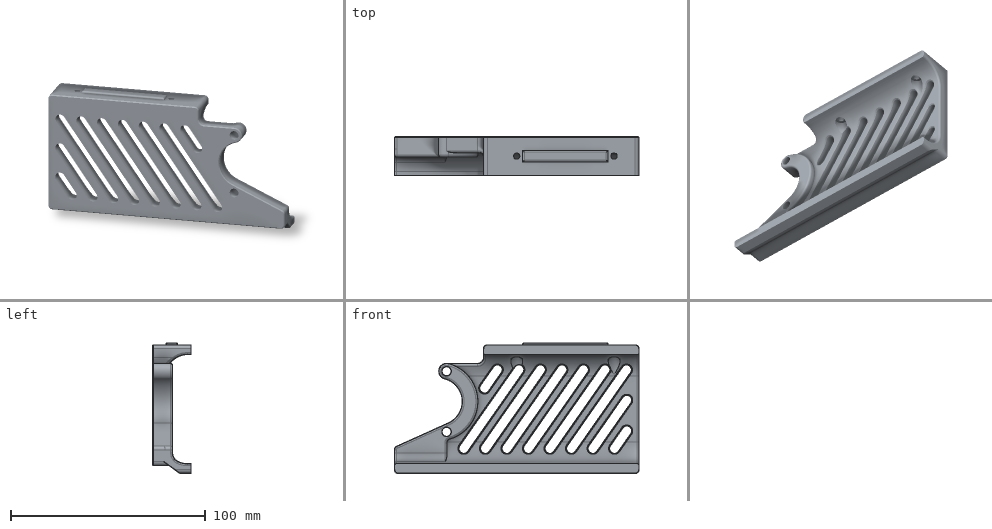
import cadquery as cq
import math

LENGTH = 125.5
DEPTH = 20.0
PLATE_HEIGHT = 66.0
OVER = 6.3

FLANGE = 5.0
FLANGE_FLAT = 2.0
COVE_RADIUS = 11.0
WEB_FACE = FLANGE_FLAT + COVE_RADIUS
COVE_LOW = FLANGE + COVE_RADIUS
FLANGE_TOP_UNDER = PLATE_HEIGHT - FLANGE
COVE_HIGH = FLANGE_TOP_UNDER - COVE_RADIUS

CORNER = 2.0
PLATE_LEFT = 45.7
NECK_RADIUS = 3.0
NOSE_HEIGHT = 13.4
REAR_BOTTOM = 4.0
SLOPE_START = 5.8
SLOPE_END = 14.0

RING_X = 22.7
RING_Z = 36.9
RING_RADIUS = 16.1
RING_HALF_WIDTH = 4.0
RING_INNER = RING_RADIUS - RING_HALF_WIDTH
RING_OUTER = RING_RADIUS + RING_HALF_WIDTH
RING_HOLE_X = 26.7
RING_HOLE_DIAMETER = 4.6
RING_HOLE_RISE = math.sqrt(RING_RADIUS**2 - (RING_HOLE_X - RING_X)**2)
HOOK_TOP = RING_Z + RING_HOLE_RISE + RING_HALF_WIDTH
RING_FACE = 9.5
ARM_RIGHT = 26.9
ARM_FILLET = 2.0
ARM_COVE_RADIUS = 5.0

SLOT_WIDTH = 5.0
SLOT_ANGLE = 55.0
SLOT_PITCH = 11.0
SLOT_COUNT = 9
FIRST_SLOT_TOP_X = 52.8
SLOT_LOW_Z = 12.8
SLOT_HIGH_Z = 53.2
SLOT_RIGHT_X = 119.2
FIRST_SLOT_LOW_Z = 43.8

RIM_ROUND = 1.0
SLOT_CHAMFER = 0.5
BACK_CHAMFER = 0.5

TOP_HOLE_X = (62.8, 112.7)
TOP_HOLE_DIAMETER = 3.1
TOP_BORE_DIAMETER = 6.0
STRIP_LEFT = 65.8
STRIP_LENGTH = 43.9
STRIP_WIDTH = 6.0
STRIP_HEIGHT = 1.0


def ring_point(radius, angle):
    """Point (x, z) on a circle about the crescent centre, angle in radians."""
    return (RING_X + radius * math.cos(angle), RING_Z + radius * math.sin(angle))


def hook_point(angle):
    """Point (x, z) on the round end of the crescent, about its upper screw hole."""
    return (
        RING_HOLE_X + RING_HALF_WIDTH * math.cos(angle),
        RING_Z + RING_HOLE_RISE + RING_HALF_WIDTH * math.sin(angle),
    )


def prism(sketch, y_from, y_to):
    """Extrude an X-Z outline from depth y_from to depth y_to."""
    return sketch.extrude(y_from - y_to).translate((0, y_from, 0))


HOLE_ANGLE = math.atan2(RING_HOLE_RISE, RING_HOLE_X - RING_X)
NOSE_DISTANCE = math.hypot(RING_X, RING_Z - NOSE_HEIGHT)
NOSE_TANGENT_ANGLE = math.atan2(NOSE_HEIGHT - RING_Z, -RING_X) + math.acos(RING_INNER / NOSE_DISTANCE)


def start_left_edge(bottom):
    """Left edge shared by body and crescent, up to the top of the hook."""
    return (
        cq.Workplane("XZ")
        .moveTo(0, bottom)
        .lineTo(0, NOSE_HEIGHT)
        .lineTo(*ring_point(RING_INNER, NOSE_TANGENT_ANGLE))
        .threePointArc(ring_point(RING_INNER, 0), ring_point(RING_INNER, HOLE_ANGLE))
        .threePointArc(hook_point(HOLE_ANGLE / 2 + math.pi * 3 / 4), hook_point(math.pi / 2))
    )


def round_corner(solid, x, z, radius):
    """Round the depth-wise edge at (x, z)."""
    reach = 0.06
    box = cq.selectors.BoxSelector((x - reach, -OVER, z - reach), (x + reach, DEPTH + OVER, z + reach))
    return solid.edges("|Y").edges(box).fillet(radius)


def outline_body(bottom):
    """Full-depth body with the given underside height."""
    solid = prism(
        start_left_edge(bottom)
        .lineTo(PLATE_LEFT, HOOK_TOP)
        .lineTo(PLATE_LEFT, PLATE_HEIGHT)
        .lineTo(LENGTH, PLATE_HEIGHT)
        .lineTo(LENGTH, bottom)
        .close(),
        0,
        DEPTH,
    )
    solid = round_corner(solid, PLATE_LEFT, HOOK_TOP, NECK_RADIUS)
    for x, z in (
        (0, bottom),
        (0, NOSE_HEIGHT),
        (PLATE_LEFT, PLATE_HEIGHT),
        (LENGTH, PLATE_HEIGHT),
        (LENGTH, bottom),
    ):
        solid = round_corner(solid, x, z, CORNER)
    return solid


def outer_body():
    """Body before hollowing: low front flange, sloping underside and raised rear bottom."""
    slope = (REAR_BOTTOM + CORNER) / (SLOPE_END - SLOPE_START)
    run = DEPTH + OVER - SLOPE_START
    under_slope = (
        cq.Workplane("YZ")
        .polyline([(SLOPE_START, 0), (SLOPE_START + run, slope * run), (SLOPE_START + run, 0)])
        .close()
        .extrude(LENGTH)
    )
    return outline_body(0).cut(under_slope).union(outline_body(REAR_BOTTOM))


def main_hollow():
    """Hollow between the flanges, with a quarter-round cove to each of them."""
    reach = COVE_RADIUS * math.sqrt(0.5)
    return (
        cq.Workplane("YZ")
        .moveTo(-OVER, FLANGE)
        .lineTo(FLANGE_FLAT, FLANGE)
        .threePointArc((FLANGE_FLAT + reach, COVE_LOW - reach), (WEB_FACE, COVE_LOW))
        .lineTo(WEB_FACE, COVE_HIGH)
        .threePointArc((FLANGE_FLAT + reach, COVE_HIGH + reach), (FLANGE_FLAT, FLANGE_TOP_UNDER))
        .lineTo(-OVER, FLANGE_TOP_UNDER)
        .close()
        .extrude(LENGTH + 2 * OVER)
        .translate((-OVER, 0, 0))
    )


def arm_hollow():
    """Shallower hollow in front of the crescent and arm, with a tighter lower cove."""
    centre_y = RING_FACE - ARM_COVE_RADIUS
    offset_y = centre_y - FLANGE_FLAT
    gap = COVE_RADIUS - ARM_COVE_RADIUS
    centre_z = COVE_LOW - math.sqrt(gap**2 - offset_y**2)
    join_angle = math.atan2(centre_z - COVE_LOW, offset_y)

    def on_arc(y, z, radius, angle):
        return (y + radius * math.cos(angle), z + radius * math.sin(angle))

    join = on_arc(FLANGE_FLAT, COVE_LOW, COVE_RADIUS, join_angle)
    main_middle = on_arc(FLANGE_FLAT, COVE_LOW, COVE_RADIUS, (join_angle - math.pi / 2) / 2)
    arm_middle = on_arc(centre_y, centre_z, ARM_COVE_RADIUS, join_angle / 2)
    return (
        cq.Workplane("YZ")
        .moveTo(-OVER, FLANGE)
        .lineTo(FLANGE_FLAT, FLANGE)
        .threePointArc(main_middle, join)
        .threePointArc(arm_middle, (RING_FACE, centre_z))
        .lineTo(RING_FACE, HOOK_TOP + OVER)
        .lineTo(-OVER, HOOK_TOP + OVER)
        .close()
        .extrude(PLATE_LEFT + OVER)
        .translate((-OVER, 0, 0))
    )


def raised_footprint():
    """Prism over the crescent and arm, where only the shallow hollow applies."""
    hook_turn = (HOLE_ANGLE + math.pi / 2) / 2
    arm_top = RING_Z - math.sqrt(RING_OUTER**2 - (ARM_RIGHT - RING_X)**2)
    solid = prism(
        start_left_edge(0)
        .threePointArc(hook_point(hook_turn), hook_point(HOLE_ANGLE))
        .threePointArc(ring_point(RING_OUTER, 0), (ARM_RIGHT, arm_top))
        .lineTo(ARM_RIGHT, 0)
        .close(),
        -OVER,
        DEPTH,
    )
    return round_corner(solid, ARM_RIGHT, arm_top, ARM_FILLET)


def round_edges_near(solid, points, radius):
    """Round the edges whose centres lie nearest the given points, with their tangent chains."""
    selectors = [cq.selectors.NearestToPointSelector(point) for point in points]
    return solid.edges(sum(selectors[1:], selectors[0])).fillet(radius)


def web_and_flanges():
    """Body with the main hollow, its open rims rounded."""
    solid = outer_body().cut(main_hollow())
    top_rim_y = FLANGE_FLAT + math.sqrt(COVE_RADIUS**2 - (HOOK_TOP - COVE_HIGH)**2)
    return round_edges_near(
        solid,
        [
            (LENGTH, WEB_FACE, (COVE_LOW + COVE_HIGH) / 2),
            ((RING_HOLE_X + PLATE_LEFT - NECK_RADIUS) / 2, top_rim_y, HOOK_TOP),
        ],
        RIM_ROUND,
    )


def crescent_and_arm():
    """Raised crescent and arm at full depth, with a rounded front rim."""
    solid = outer_body().intersect(raised_footprint()).cut(arm_hollow())
    nose_end_x, nose_end_z = ring_point(RING_INNER, NOSE_TANGENT_ANGLE)
    return round_edges_near(
        solid,
        [
            (RING_X + RING_OUTER, RING_FACE, RING_Z),
            (nose_end_x / 2, RING_FACE, (NOSE_HEIGHT + nose_end_z) / 2),
        ],
        RIM_ROUND,
    )


def cut_slot(solid, top_x, low_z):
    """Cut one slanted slot and bevel its front edge; top_x is where its axis meets SLOT_HIGH_Z."""
    slope = math.tan(math.radians(SLOT_ANGLE))
    high_x = min(top_x, SLOT_RIGHT_X)
    high_z = SLOT_HIGH_Z - (top_x - high_x) * slope
    low_x = top_x - (SLOT_HIGH_Z - low_z) / slope
    middle_x = (low_x + high_x) / 2
    middle_z = (low_z + high_z) / 2
    axis_length = math.hypot(high_x - low_x, high_z - low_z)
    outline = (
        cq.Workplane("XZ")
        .center(middle_x, middle_z)
        .slot2D(axis_length + SLOT_WIDTH, SLOT_WIDTH, SLOT_ANGLE)
    )
    solid = solid.cut(prism(outline, 0, DEPTH))
    edge_x = middle_x + SLOT_WIDTH / 2 * math.sin(math.radians(SLOT_ANGLE))
    edge_z = middle_z - SLOT_WIDTH / 2 * math.cos(math.radians(SLOT_ANGLE))
    front_edge = cq.selectors.NearestToPointSelector((edge_x, WEB_FACE, edge_z))
    return solid.edges(front_edge).chamfer(SLOT_CHAMFER)


def cylinder(x, diameter, z_from, z_to):
    """Upright cylinder at mid-depth."""
    return cq.Workplane("XY", origin=(x, DEPTH / 2, z_from)).circle(diameter / 2).extrude(z_to - z_from)


def raised_strip():
    """Strip on the upper flange, rounded down to the surface and sunk in by its own height."""
    return (
        cq.Workplane("XY", origin=(STRIP_LEFT + STRIP_LENGTH / 2, DEPTH / 2, PLATE_HEIGHT))
        .box(STRIP_LENGTH, STRIP_WIDTH, 2 * STRIP_HEIGHT)
        .faces(">Z")
        .edges()
        .fillet(STRIP_HEIGHT)
    )


body = web_and_flanges().union(crescent_and_arm())
body = body.faces(">Y").edges().chamfer(BACK_CHAMFER)

for index in range(SLOT_COUNT):
    low_end_z = FIRST_SLOT_LOW_Z if index == 0 else SLOT_LOW_Z
    body = cut_slot(body, FIRST_SLOT_TOP_X + index * SLOT_PITCH, low_end_z)

for side in (-1, 1):
    hole_z = RING_Z + side * RING_HOLE_RISE
    hole = cq.Workplane("XZ").center(RING_HOLE_X, hole_z).circle(RING_HOLE_DIAMETER / 2)
    body = body.cut(prism(hole, 0, DEPTH))

for x in TOP_HOLE_X:
    body = body.cut(cylinder(x, TOP_HOLE_DIAMETER, FLANGE_TOP_UNDER, PLATE_HEIGHT))
    body = body.cut(cylinder(x, TOP_BORE_DIAMETER, COVE_HIGH, FLANGE_TOP_UNDER))

result = body.union(raised_strip())